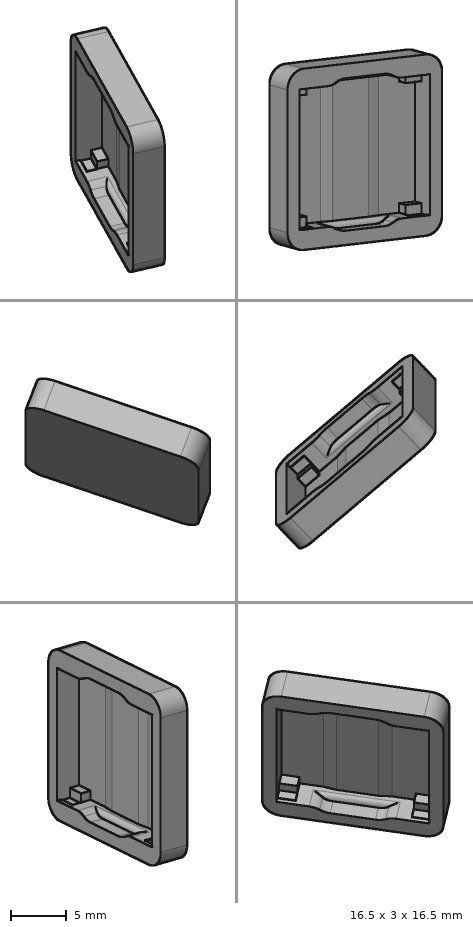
import cadquery as cq

side = 16.5
depth = 3.0
corner_radius = 1.75
back_thickness = 0.5

pocket_width = 13.91
pocket_height = 12.8
pocket_depth = depth - back_thickness

band_base_width = 6.2
band_top_width = 3.86
band_rise = 0.15

block_width = 1.67
block_height = 0.85
block_depth = 1.05
recess_depth = 0.1
front_lip = 0.48

scallop_depth = 0.53
scallop_flat_width = 4.12
scallop_full_width = 7.92
scallop_length = 1.96
scallop_end_run = 0.55

front_y = -depth / 2
floor_y = front_y + pocket_depth
wall_z = pocket_height / 2


def box_between(x_range, y_range, z_range):
    """Box spanning the given (low, high) range on each axis."""
    lows, highs = zip(x_range, y_range, z_range)
    sizes = [high - low for low, high in zip(lows, highs)]
    return cq.Workplane("XY").box(*sizes, centered=False).translate(lows)


def make_tray():
    body = cq.Workplane("XY").box(side, depth, side).edges("|Y").fillet(corner_radius)
    pocket = box_between(
        (-pocket_width / 2, pocket_width / 2), (front_y, floor_y), (-wall_z, wall_z)
    )
    return body.cut(pocket)


def make_band():
    half_base = band_base_width / 2
    half_top = band_top_width / 2
    return (
        cq.Workplane("XY")
        .moveTo(-half_base, floor_y)
        .lineTo(-half_top, floor_y - band_rise)
        .lineTo(half_top, floor_y - band_rise)
        .lineTo(half_base, floor_y)
        .close()
        .extrude(wall_z, both=True)
    )


def make_scallop():
    """Upper scallop: an S-sided profile along Y, limited by a rounded inner end."""
    half_flat = scallop_flat_width / 2
    half_full = scallop_full_width / 2
    half_way = (half_flat + half_full) / 2
    mid_z = wall_z + scallop_depth / 2
    bottom_z = wall_z + scallop_depth
    inner_y = front_y + scallop_length
    end_radius = (scallop_end_run**2 + scallop_depth**2) / (2 * scallop_depth)
    flat_end_y = inner_y - scallop_end_run
    half_across = (
        cq.Workplane("XZ", origin=(0, front_y, 0))
        .moveTo(0, bottom_z)
        .lineTo(half_flat, bottom_z)
        .tangentArcPoint((half_way, mid_z), relative=False)
        .tangentArcPoint((half_full, wall_z), relative=False)
        .lineTo(0, wall_z)
        .close()
        .extrude(-scallop_length)
    )
    across = half_across.union(half_across.mirror("YZ"))
    along = (
        cq.Workplane("YZ")
        .moveTo(front_y, bottom_z)
        .lineTo(front_y, wall_z)
        .lineTo(inner_y, wall_z)
        .radiusArc((flat_end_y, bottom_z), end_radius)
        .close()
        .extrude(half_full, both=True)
    )
    return across.intersect(along)


def make_corner_block():
    """Block in the corner of the pocket at +X, +Z."""
    return box_between(
        (pocket_width / 2 - block_width, pocket_width / 2),
        (floor_y - block_depth, floor_y),
        (wall_z - block_height, wall_z),
    )


def make_corner_recess():
    """Recess in the upper pocket wall, between the +X block and the front lip."""
    return box_between(
        (pocket_width / 2 - block_width, pocket_width / 2),
        (front_y + front_lip, floor_y - block_depth),
        (wall_z, wall_z + recess_depth),
    )


def upper_and_lower(shape):
    return [shape, shape.mirror("XY")]


def all_corners(shape):
    return upper_and_lower(shape) + upper_and_lower(shape.mirror("YZ"))


result = make_tray().union(make_band())
for block in all_corners(make_corner_block()):
    result = result.union(block)
for recess in all_corners(make_corner_recess()):
    result = result.cut(recess)
for scallop in upper_and_lower(make_scallop()):
    result = result.cut(scallop)